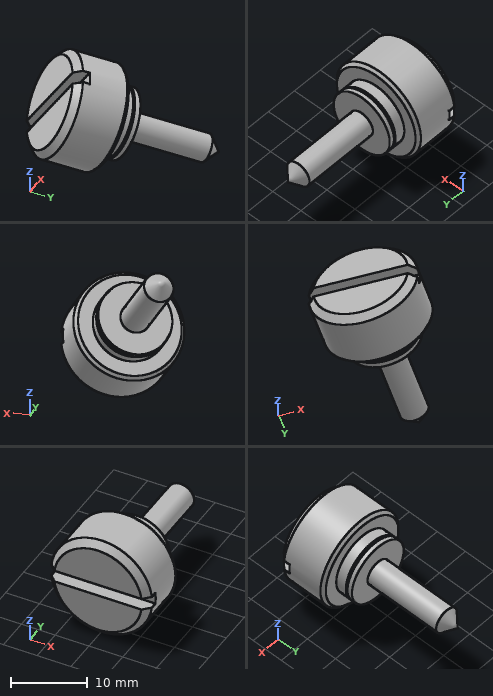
import cadquery as cq

total_length = 25.0

head_radius = 7.5
head_length = 8.0
front_chamfer = 1.0
rear_chamfer = 0.5

slot_width = 1.75
slot_depth = 2.0

collar_radius = 5.0
collar_length = 2.0
collar_chamfer = 0.3

shank_radius = 2.0
tip_length = shank_radius

washer_radius = collar_radius
washer_thickness = 0.8

collar_end = head_length + collar_length


def make_screw():
    """Turned head, collar and pointed shank, with a driver slot across the head."""
    body = (
        cq.Workplane("XY")
        .moveTo(0, 0)
        .lineTo(head_radius - front_chamfer, 0)
        .lineTo(head_radius, front_chamfer)
        .lineTo(head_radius, head_length - rear_chamfer)
        .lineTo(head_radius - rear_chamfer, head_length)
        .lineTo(collar_radius, head_length)
        .lineTo(collar_radius, collar_end - collar_chamfer)
        .lineTo(collar_radius - collar_chamfer, collar_end)
        .lineTo(shank_radius, collar_end)
        .lineTo(shank_radius, total_length - tip_length)
        .lineTo(0, total_length)
        .close()
        .revolve(360, (0, 0, 0), (0, 1, 0))
    )
    slot = cq.Workplane("XY").box(
        2 * head_radius, slot_depth, slot_width, centered=(True, False, True)
    )
    return body.cut(slot)


def make_washer():
    """Flat ring that fits the shank and rests against the end of the collar."""
    return (
        cq.Workplane("XZ", origin=(0, collar_end, 0))
        .circle(washer_radius)
        .circle(shank_radius)
        .extrude(-washer_thickness)
    )


screw = make_screw()
washer = make_washer()

result = cq.Compound.makeCompound([screw.val(), washer.val()])